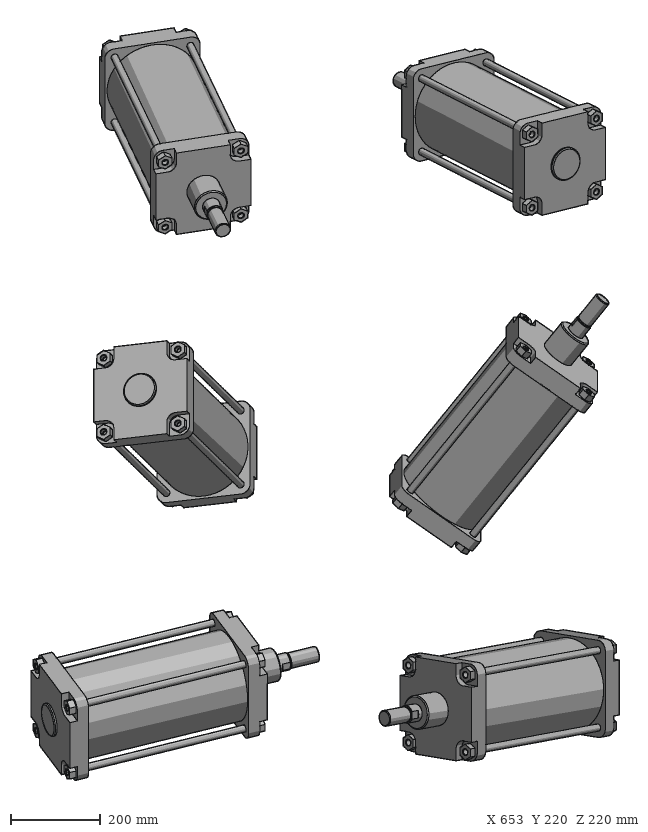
import cadquery as cq

overall_length = 653.0

cap_side = 220.0
cap_corner_radius = 22.0
cap_thickness = 46.0
cap_spacing = 388.0
pocket_depth = 18.0
pocket_side = 47.5
pocket_corner_radius = 21.0

collar_diameter = 76.5
collar_chamfer = 2.5
rear_collar_length = 6.5
front_collar_length = 65.0

barrel_diameter = 209.5

tie_rod_offset = 87.5
tie_rod_diameter = 16.0
nut_height = 15.5
nut_across_flats = 31.5
socket_diameter = 13.0
socket_chamfer = 1.0

rod_diameter = 40.0
rod_flat_width = 36.0
rod_flat_length = 19.5
thread_diameter = 36.0
thread_length = 68.0
thread_chamfer = 2.0
neck_diameter = 33.0
neck_length = 3.0

rear_outer_x = rear_collar_length
rear_inner_x = rear_outer_x + cap_thickness
front_inner_x = rear_inner_x + cap_spacing
front_outer_x = front_inner_x + cap_thickness
thread_start_x = overall_length - thread_length
rod_shoulder_x = thread_start_x - neck_length
rod_flat_start_x = rod_shoulder_x - rod_flat_length
rear_nut_seat_x = rear_outer_x + pocket_depth
front_nut_seat_x = front_outer_x - pocket_depth

tie_rod_centres = [
    (y_side * tie_rod_offset, z_side * tie_rod_offset)
    for y_side in (-1, 1)
    for z_side in (-1, 1)
]


def plane_at(x):
    """Workplane across the cylinder axis: local axes are Y and Z, extrusion runs along +X."""
    return cq.Workplane("YZ", origin=(x, 0, 0))


def corner_pockets(start_x):
    """Four blocks that clear the cap corners around the nuts, rounded on the inward edge."""
    block_side = 2 * pocket_side
    return (
        plane_at(start_x)
        .rect(cap_side, cap_side, forConstruction=True)
        .vertices()
        .rect(block_side, block_side)
        .extrude(pocket_depth)
        .edges("|X")
        .fillet(pocket_corner_radius)
    )


def cap_plate(inner_x, outer_x):
    """Square cap with rounded corners, corner pockets on its outer face and tie rod holes."""
    start_x = min(inner_x, outer_x)
    pocket_start_x = outer_x if outer_x < inner_x else outer_x - pocket_depth
    tie_rod_holes = (
        plane_at(start_x)
        .pushPoints(tie_rod_centres)
        .circle(tie_rod_diameter / 2)
        .extrude(cap_thickness)
    )
    return (
        plane_at(start_x)
        .rect(cap_side, cap_side)
        .extrude(cap_thickness)
        .edges("|X")
        .fillet(cap_corner_radius)
        .cut(corner_pockets(pocket_start_x))
        .cut(tie_rod_holes)
    )


def collar(start_x, length, free_end):
    """Round collar with a chamfer on its free end."""
    return (
        plane_at(start_x)
        .circle(collar_diameter / 2)
        .extrude(length)
        .faces(free_end)
        .chamfer(collar_chamfer)
    )


def make_rear_cap():
    return cap_plate(rear_inner_x, rear_outer_x).union(collar(0, rear_collar_length, "<X"))


def make_front_cap():
    """Front cap with the long guide collar, bored through for the piston rod."""
    bore = plane_at(front_inner_x).circle(rod_diameter / 2).extrude(cap_thickness + front_collar_length)
    return (
        cap_plate(front_inner_x, front_outer_x)
        .union(collar(front_outer_x, front_collar_length, ">X"))
        .cut(bore)
    )


def make_barrel():
    return plane_at(rear_inner_x).circle(barrel_diameter / 2).extrude(cap_spacing)


def hex_nut(start_x):
    """Hexagonal nut with two corners on the Z direction, so two flats face +Y and -Y."""
    return (
        plane_at(start_x)
        .polygon(6, nut_across_flats, circumscribed=True)
        .extrude(nut_height)
    )


def nut_socket(mouth_x, direction):
    """Blind round socket as deep as the nut, running from its mouth along +X or -X, with a flared mouth."""
    radius = socket_diameter / 2
    bottom_x = mouth_x + direction * nut_height
    flare_end_x = mouth_x + direction * socket_chamfer
    profile = [
        (mouth_x, 0),
        (mouth_x, radius + socket_chamfer),
        (flare_end_x, radius),
        (bottom_x, radius),
        (bottom_x, 0),
    ]
    return cq.Workplane("XY").polyline(profile).close().revolve(360, (0, 0, 0), (1, 0, 0))


def make_tie_rod(y, z):
    """Tie rod with a nut at each end and a socket in each nut."""
    rear_end_x = rear_nut_seat_x - nut_height
    front_end_x = front_nut_seat_x + nut_height
    return (
        plane_at(rear_nut_seat_x)
        .circle(tie_rod_diameter / 2)
        .extrude(front_nut_seat_x - rear_nut_seat_x)
        .union(hex_nut(rear_end_x))
        .union(hex_nut(front_nut_seat_x))
        .cut(nut_socket(rear_end_x, 1))
        .cut(nut_socket(front_end_x, -1))
        .translate((0, y, z))
    )


def make_piston_rod():
    """Rod from the barrel end through the front cap, with two wrench flats and a threaded end."""
    shank = plane_at(front_inner_x).circle(rod_diameter / 2).extrude(rod_flat_start_x - front_inner_x)
    flats = (
        plane_at(rod_flat_start_x)
        .circle(rod_diameter / 2)
        .extrude(rod_flat_length)
        .intersect(plane_at(rod_flat_start_x).rect(rod_flat_width, rod_diameter).extrude(rod_flat_length))
    )
    neck = plane_at(rod_shoulder_x).circle(neck_diameter / 2).extrude(neck_length)
    thread = (
        plane_at(thread_start_x)
        .circle(thread_diameter / 2)
        .extrude(thread_length)
        .faces(">X")
        .chamfer(thread_chamfer)
    )
    return shank.union(flats).union(neck).union(thread)


rear_cap = make_rear_cap()
front_cap = make_front_cap()
barrel = make_barrel()
piston_rod = make_piston_rod()
tie_rods = [make_tie_rod(y, z) for y, z in tie_rod_centres]

bodies = [rear_cap, front_cap, barrel, piston_rod, *tie_rods]
result = cq.Compound.makeCompound([body.solids().val() for body in bodies])